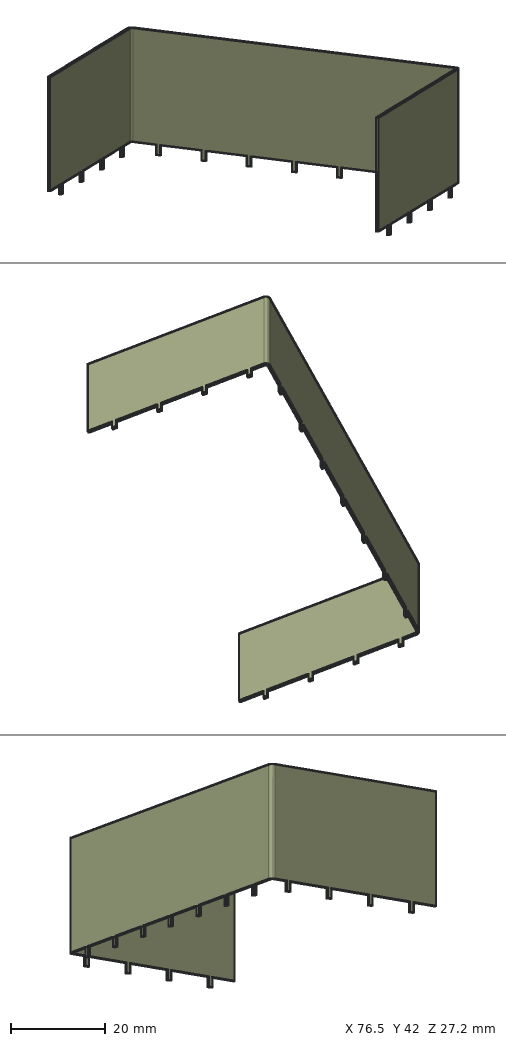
import cadquery as cq

width = 76.5
depth = 42.0
height = 27.2

thickness = 0.5
bend_outer_radius = 1.0
bend_inner_radius = bend_outer_radius - thickness

pin_length = 2.2
pin_width = 0.9
pin_pitch = 10.5
back_pin_count = 7
side_pin_count = 4
side_pin_setback = 4.4

wall_height = height - pin_length


def make_walls():
    """U-shaped sheet, open towards -Y, standing on Z = 0 with its back face at Y = 0."""
    outer = (
        cq.Workplane("XY")
        .rect(width, depth)
        .extrude(wall_height)
        .edges("|Z and >Y")
        .fillet(bend_outer_radius)
    )
    cavity = (
        cq.Workplane("XY")
        .center(0, -thickness)
        .rect(width - 2 * thickness, depth)
        .extrude(wall_height)
        .edges("|Z and >Y")
        .fillet(bend_inner_radius)
    )
    return outer.cut(cavity).translate((0, -depth / 2, 0))


def make_pins(centres, size_x, size_y):
    """Pins hanging below the walls at the given centres."""
    return (
        cq.Workplane("XY")
        .pushPoints(centres)
        .rect(size_x, size_y)
        .extrude(-pin_length)
    )


back_middle = (back_pin_count - 1) / 2
back_centres = [((i - back_middle) * pin_pitch, -thickness / 2) for i in range(back_pin_count)]

side_x = (width - thickness) / 2
side_centres = [
    (sign * side_x, -side_pin_setback - i * pin_pitch)
    for sign in (-1, 1)
    for i in range(side_pin_count)
]

result = (
    make_walls()
    .union(make_pins(back_centres, pin_width, thickness))
    .union(make_pins(side_centres, thickness, pin_width))
)